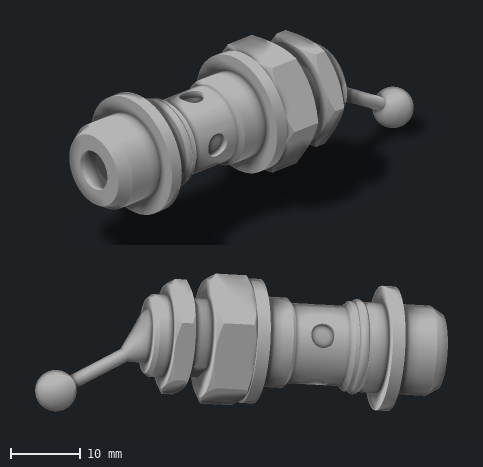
import cadquery as cq
import math

flange_thickness = 1.85
front_flange_start = 7.1
ring_center = 12.5
neck_start = 14.55
neck_end = 22.35
rear_flange_start = 27.1
large_nut_start = rear_flange_start + flange_thickness
large_nut_thickness = 6.05
large_nut_end = large_nut_start + large_nut_thickness
small_nut_start = 37.8
small_nut_thickness = 3.0
body_end = 43.35

barrel_radius = 6.5
neck_radius = 5.8
stem_radius = 6.0
flange_diameter = 18.0
flange_radius = flange_diameter / 2

port_chamfer_length = 1.8
port_chamfer_depth = 1.1
shoulder_length = barrel_radius - neck_radius
stem_chamfer_length = 0.6
stem_chamfer_depth = 0.5

ring_section_radius = 0.7
ring_outer_radius = 6.9
groove_width = 1.55
groove_radius = 5.7

large_nut_across_flats = 17.0
small_nut_across_flats = 15.0
nut_sides = 6
nut_chamfer_angle = math.radians(30)
stem_across_flats = 10.1

port_radius = 3.0
port_depth = 3.0
cross_hole_radius = 1.8
cross_hole_center = 18.55
cross_hole_depth = 1.0
cross_hole_count = 4

pivot_y = 41.25
lever_tilt = 30
lever_length = 17.95
ball_radius = 3.0
rod_radius = 1.0
cone_tip = 6.35
cone_base_radius = 3.4
dome_radius = 4.4
cone_half_angle = math.radians(30)


def cylinder(start, length, radius):
    """Cylinder on the Y axis running from start towards +Y."""
    return cq.Workplane("XZ", origin=(0, start, 0)).circle(radius).extrude(-length)


def turned_body():
    """Barrel, neck and stem, with the groove for the seal ring."""
    groove_start = ring_center - groove_width / 2
    groove_end = ring_center + groove_width / 2
    outline = [
        (0, 0),
        (barrel_radius - port_chamfer_depth, 0),
        (barrel_radius, port_chamfer_length),
        (barrel_radius, groove_start),
        (groove_radius, groove_start),
        (groove_radius, groove_end),
        (barrel_radius, groove_end),
        (barrel_radius, neck_start - shoulder_length),
        (neck_radius, neck_start),
        (neck_radius, neck_end),
        (barrel_radius, neck_end + shoulder_length),
        (barrel_radius, large_nut_start),
        (stem_radius, large_nut_start),
        (stem_radius, body_end - stem_chamfer_length),
        (stem_radius - stem_chamfer_depth, body_end),
        (0, body_end),
    ]
    return cq.Workplane("XY").polyline(outline).close().revolve(360, (0, 0), (0, 1))


def seal_ring():
    """Round-section ring seated in the groove."""
    section_center = ring_outer_radius - ring_section_radius
    return (
        cq.Workplane("XY")
        .center(-section_center, ring_center)
        .circle(ring_section_radius)
        .revolve(360, (section_center, 0), (section_center, 1))
    )


def nut(start, thickness, across_flats):
    """Hexagon with corners on the X axis, both faces chamfered down to the flats."""
    flat_radius = across_flats / 2
    corner_radius = flat_radius / math.cos(math.pi / nut_sides)
    chamfer_length = (corner_radius - flat_radius) * math.tan(nut_chamfer_angle)
    end = start + thickness
    blank = cq.Workplane("XZ", origin=(0, start, 0)).polygon(nut_sides, 2 * corner_radius)
    envelope = (
        cq.Workplane("XY")
        .polyline([
            (0, start),
            (flat_radius, start),
            (corner_radius, start + chamfer_length),
            (corner_radius, end - chamfer_length),
            (flat_radius, end),
            (0, end),
        ])
        .close()
        .revolve(360, (0, 0), (0, 1))
    )
    return blank.extrude(-thickness).intersect(envelope)


def stem_flats():
    """Material removed above and below the stem between the two nuts."""
    length = small_nut_start - large_nut_end
    gap = cylinder(large_nut_end, length, flange_radius)
    kept = cq.Workplane("XY").box(2 * flange_radius, length, stem_across_flats)
    return gap.cut(kept.translate((0, large_nut_end + length / 2, 0)))


def lever():
    """Ball, rod, cone and dome, built along Y from the pivot and then tilted."""
    cone_base = cone_tip - (cone_base_radius - rod_radius) / math.tan(cone_half_angle)
    dome_center = cone_base - math.sqrt(dome_radius**2 - cone_base_radius**2)
    boot = (
        cq.Workplane("XY")
        .moveTo(0, dome_center - dome_radius)
        .threePointArc((dome_radius, dome_center), (cone_base_radius, cone_base))
        .lineTo(rod_radius, cone_tip)
        .lineTo(0, cone_tip)
        .close()
        .revolve(360, (0, 0), (0, 1))
    )
    rod = cylinder(0, lever_length, rod_radius)
    ball = cq.Workplane("XY").sphere(ball_radius).translate((0, lever_length, 0))
    straight = boot.union(rod).union(ball)
    return straight.rotate((0, 0, 0), (1, 0, 0), -lever_tilt).translate((0, pivot_y, 0))


def cross_holes():
    """Four shallow radial holes around the neck, with floors concentric with it."""
    center = (0, cross_hole_center, 0)
    drill = cq.Workplane("XY", origin=center).circle(cross_hole_radius).extrude(neck_radius)
    holes = drill
    for index in range(1, cross_hole_count):
        holes = holes.union(drill.rotate((0, 0, 0), (0, 1, 0), index * 360 / cross_hole_count))
    core = cylinder(neck_start, neck_end - neck_start, neck_radius - cross_hole_depth)
    return holes.cut(core)


result = turned_body().cut(stem_flats()).union(seal_ring())
for flange_start in (front_flange_start, rear_flange_start):
    result = result.union(cylinder(flange_start, flange_thickness, flange_radius))
result = result.union(nut(large_nut_start, large_nut_thickness, large_nut_across_flats))
result = result.union(nut(small_nut_start, small_nut_thickness, small_nut_across_flats))
result = result.union(lever())
result = result.cut(cylinder(0, port_depth, port_radius)).cut(cross_holes())